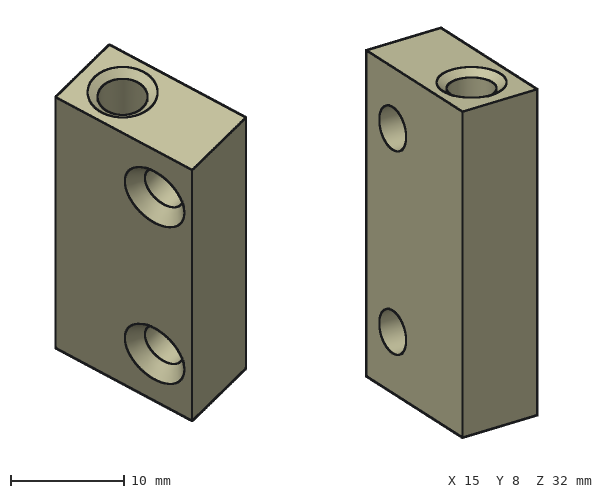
import cadquery as cq

width = 15.0
depth = 8.0
height = 32.0

screw_hole_x = 10.88
screw_hole_end_distance = 6.0
screw_hole_diameter = 4.2
screw_sink_diameter = 6.53
screw_sink_angle = 80.0

top_hole_x = 4.4
top_hole_diameter = 4.4
top_hole_depth = 16.0
top_sink_diameter = 6.18
top_sink_angle = 112.0


def make_block():
    return cq.Workplane("XY").box(width, depth, height, centered=False)


def cut_screw_holes(body):
    hole_heights = (screw_hole_end_distance, height - screw_hole_end_distance)
    return (
        body.faces("<Y")
        .workplane(origin=(0, 0, 0))
        .pushPoints([(screw_hole_x, z) for z in hole_heights])
        .cskHole(screw_hole_diameter, screw_sink_diameter, screw_sink_angle)
    )


def cut_top_hole(body):
    return (
        body.faces(">Z")
        .workplane(origin=(top_hole_x, depth / 2, height))
        .cskHole(top_hole_diameter, top_sink_diameter, top_sink_angle, depth=top_hole_depth)
    )


result = cut_top_hole(cut_screw_holes(make_block()))